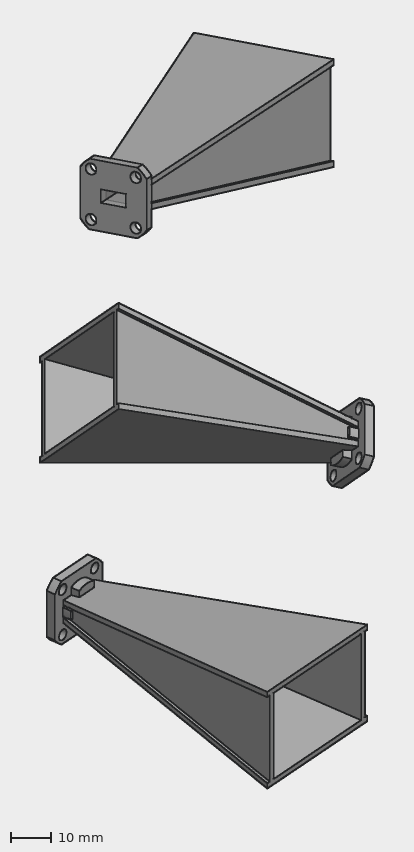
import cadquery as cq

length = 79.25
mouth_width = 39.7
mouth_height = 28.8
wall = 1.6
plate_overhang = 0.95

guide_width = 7.05
guide_height = 3.65

flange_side = 18.9
flange_diameter = 23.3
flange_thickness = 2.7
hole_diameter = 3.0
hole_spacing_x = 12.7
hole_spacing_z = 13.5

collar_diameter = 12.8
collar_thickness = 2.6
collar_arm_width = 6.0
collar_arm_height = 2.7

throat_width = guide_width + 2 * (wall + plate_overhang)
throat_height = guide_height + 2 * wall
mouth_inner_width = mouth_width - 2 * (wall + plate_overhang)
mouth_inner_height = mouth_height - 2 * wall


def section(y):
    """Workplane at distance y along the axis, facing +Y."""
    return cq.Workplane(cq.Plane(origin=(0, y, 0), xDir=(1, 0, 0), normal=(0, 1, 0)))


def taper(throat_x, throat_z, mouth_x, mouth_z):
    """Pyramid frustum from the back of the flange to the mouth."""
    return (
        section(flange_thickness)
        .rect(throat_x, throat_z)
        .workplane(offset=length - flange_thickness)
        .rect(mouth_x, mouth_z)
        .loft(ruled=True)
    )


def make_horn_body():
    """Tapered body with wide top and bottom plates and recessed side walls."""
    plates = taper(throat_width, throat_height, mouth_width, mouth_height).cut(
        taper(throat_width + wall, guide_height, mouth_width + wall, mouth_inner_height)
    )
    core = taper(
        throat_width - 2 * plate_overhang,
        throat_height,
        mouth_width - 2 * plate_overhang,
        mouth_height,
    )
    return plates.union(core)


def make_flange():
    """Square plate with arc corners and four bolt holes."""
    plate = section(0).rect(flange_side, flange_side).extrude(flange_thickness)
    disc = section(0).circle(flange_diameter / 2).extrude(flange_thickness)
    holes = (
        section(0)
        .rect(hole_spacing_x, hole_spacing_z, forConstruction=True)
        .vertices()
        .circle(hole_diameter / 2)
        .extrude(flange_thickness)
    )
    return plate.intersect(disc).cut(holes)


def make_collar():
    """Cross-shaped collar behind the flange, with arm ends on one circle."""
    base = section(flange_thickness)
    upright = base.rect(collar_arm_width, collar_diameter).extrude(collar_thickness)
    sideways = base.rect(collar_diameter, collar_arm_height).extrude(collar_thickness)
    disc = base.circle(collar_diameter / 2).extrude(collar_thickness)
    return upright.union(sideways).intersect(disc)


guide = section(0).rect(guide_width, guide_height).extrude(flange_thickness)
flare = taper(guide_width, guide_height, mouth_inner_width, mouth_inner_height)

result = make_horn_body().union(make_collar()).union(make_flange()).cut(guide).cut(flare)